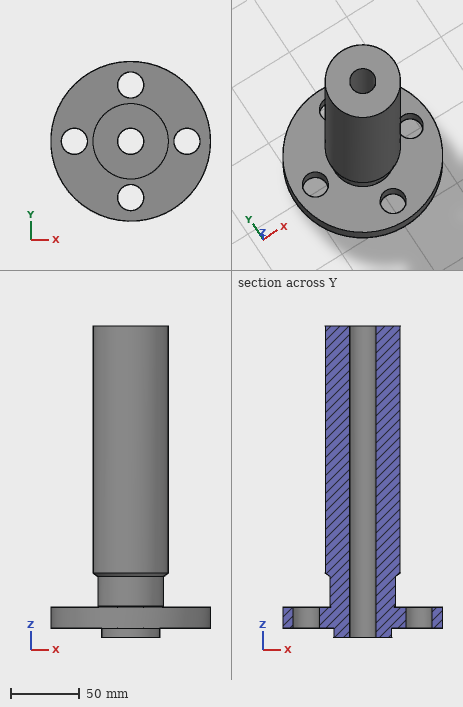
import cadquery as cq

total_height = 228.5

flange_diameter = 117.3
flange_thickness = 15.5
spigot_diameter = 42.7
spigot_height = 6.9

neck_diameter = 48.2
neck_height = 22.5
neck_foot_chamfer = 1.0

barrel_diameter = 55.3
barrel_taper_height = 2.5

bore_diameter = 19.0
bolt_hole_diameter = 19.0
bolt_circle_diameter = 82.5
bolt_hole_count = 4

flange_top = spigot_height + flange_thickness
neck_top = flange_top + neck_height
barrel_base = neck_top + barrel_taper_height
spigot_radius = spigot_diameter / 2
flange_radius = flange_diameter / 2
neck_radius = neck_diameter / 2
neck_foot_radius = neck_radius - neck_foot_chamfer
barrel_radius = barrel_diameter / 2


def turned_body():
    """Solid of revolution about Z: spigot, flange, neck and barrel."""
    half_profile = (
        cq.Workplane("XZ")
        .moveTo(0, 0)
        .lineTo(spigot_radius, 0)
        .lineTo(spigot_radius, spigot_height)
        .lineTo(flange_radius, spigot_height)
        .lineTo(flange_radius, flange_top)
        .lineTo(neck_foot_radius, flange_top)
        .lineTo(neck_radius, flange_top + neck_foot_chamfer)
        .lineTo(neck_radius, neck_top)
        .lineTo(barrel_radius, barrel_base)
        .lineTo(barrel_radius, total_height)
        .lineTo(0, total_height)
        .close()
    )
    return half_profile.revolve(360, (0, 0, 0), (0, 1, 0))


def central_bore():
    """Straight bore along the whole axis."""
    return cq.Workplane("XY").circle(bore_diameter / 2).extrude(total_height)


def bolt_holes():
    """Evenly spaced holes through the flange, the first one on +X."""
    return (
        cq.Workplane("XY")
        .workplane(offset=spigot_height)
        .polarArray(bolt_circle_diameter / 2, 0, 360, bolt_hole_count)
        .circle(bolt_hole_diameter / 2)
        .extrude(flange_thickness)
    )


result = turned_body().cut(central_bore()).cut(bolt_holes())